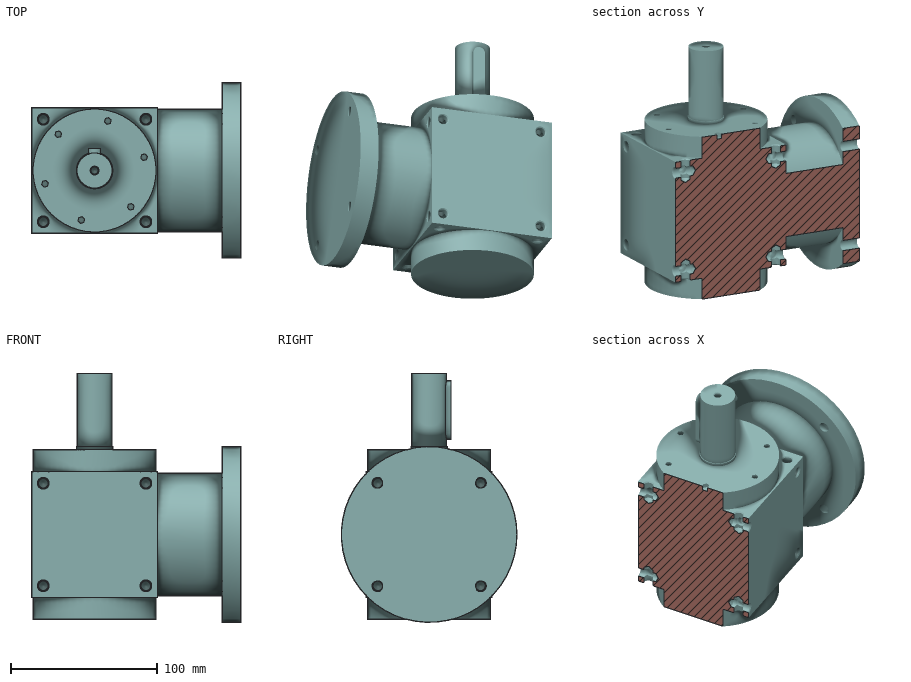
import cadquery as cq
import math


block_side = 86.0
barrel_dia = 84.0
cover_reach = 58.0
overall_height = 170.0

flange_dia = 120.0
flange_face = 100.0
flange_thickness = 13.0
flange_bolt_circle = 100.0
flange_hole_dia = 7.0
flange_hole_count = 4

mount_spacing = 70.0
mount_hole_dia = 6.6
mount_mouth_dia = 8.0
mount_hole_depth = 13.6
drill_point_angle = 118

screw_count = 6
screw_circle_dia = 70.0
screw_first_angle = 15
screw_head_dia = 8.5
screw_head_height = 5.0
socket_across_flats = 4.0
socket_depth = 3.0

shaft_dia = 24.0
collar_dia = 25.0
collar_top = 60.0
centre_hole_dia = 5.0
centre_mouth_dia = 6.0
centre_hole_depth = 13.6

key_width = 8.2
key_length = 40.1
key_height = 7.0
key_outer_y = 15.0
key_end_gap = 5.0

half_block = block_side / 2
shaft_bottom = half_block
shaft_top = overall_height - flange_dia / 2
key_middle_z = shaft_top - key_end_gap - key_length / 2


def drilled_hole(dia, mouth_dia, depth):
    """Cutter with its mouth at Z = 0, running down to a drill point, with a 45 degree chamfer."""
    radius = dia / 2
    mouth_radius = mouth_dia / 2
    chamfer = mouth_radius - radius
    point_length = radius / math.tan(math.radians(drill_point_angle / 2))
    return (
        cq.Workplane("XZ")
        .lineTo(mouth_radius, 0)
        .lineTo(radius, -chamfer)
        .lineTo(radius, -depth)
        .lineTo(0, -depth - point_length)
        .close()
        .revolve(360, (0, 0, 0), (0, 1, 0))
    )


def cylinder_z(dia, bottom, top):
    return cq.Workplane("XY").workplane(offset=bottom).circle(dia / 2).extrude(top - bottom)


def cylinder_x(dia, start, end):
    return cq.Workplane("YZ").workplane(offset=start).circle(dia / 2).extrude(end - start)


def face_mount_holes():
    """The four tapped-hole cutters of the top face of the block."""
    hole = drilled_hole(mount_hole_dia, mount_mouth_dia, mount_hole_depth).val()
    return (
        cq.Workplane("XY")
        .workplane(offset=half_block)
        .rect(mount_spacing, mount_spacing, forConstruction=True)
        .vertices()
        .eachpoint(lambda place: hole.moved(place))
    )


def block_mount_holes():
    """The hole pattern of the top face, turned onto all six faces, as a list of cutters."""
    pattern = face_mount_holes()
    x_turns = [pattern.rotate((0, 0, 0), (1, 0, 0), angle) for angle in (0, 90, 180, 270)]
    y_turns = [pattern.rotate((0, 0, 0), (0, 1, 0), angle) for angle in (90, -90)]
    return x_turns + y_turns


def screw_places():
    return cq.Workplane("XY").workplane(offset=cover_reach).polarArray(
        screw_circle_dia / 2, screw_first_angle, 360, screw_count
    )


def flange_holes():
    return (
        cq.Workplane("YZ")
        .workplane(offset=flange_face - flange_thickness)
        .polarArray(flange_bolt_circle / 2, 180 / flange_hole_count, 360, flange_hole_count)
        .circle(flange_hole_dia / 2)
        .extrude(flange_thickness)
    )


def make_housing():
    body = cq.Workplane("XY").box(block_side, block_side, block_side)
    body = body.union(cylinder_z(barrel_dia, -cover_reach, cover_reach))
    body = body.union(cylinder_x(barrel_dia, 0, flange_face))
    body = body.union(cylinder_x(flange_dia, flange_face - flange_thickness, flange_face))
    for holes in block_mount_holes():
        body = body.cut(holes)
    body = body.cut(flange_holes())
    body = body.cut(cylinder_z(collar_dia, shaft_bottom, cover_reach))

    heads = screw_places().circle(screw_head_dia / 2).extrude(-screw_head_height)
    socket_across_corners = socket_across_flats / math.cos(math.pi / 6)
    sockets = screw_places().polygon(6, socket_across_corners).extrude(-socket_depth)
    return body.cut(heads).union(heads.cut(sockets), clean=False)


def make_key():
    return (
        cq.Workplane("XZ", origin=(0, key_outer_y, key_middle_z))
        .slot2D(key_length, key_width, 90)
        .extrude(key_height)
    )


def make_shaft(key):
    body = cylinder_z(shaft_dia, shaft_bottom, shaft_top)
    body = body.union(cylinder_z(collar_dia, shaft_bottom, collar_top))
    centre_hole = drilled_hole(centre_hole_dia, centre_mouth_dia, centre_hole_depth)
    body = body.cut(centre_hole.translate((0, 0, shaft_top)))
    return body.cut(key)


housing = make_housing()
key = make_key()
shaft = make_shaft(key)

result = cq.Compound.makeCompound([housing.val(), shaft.val(), key.val()])